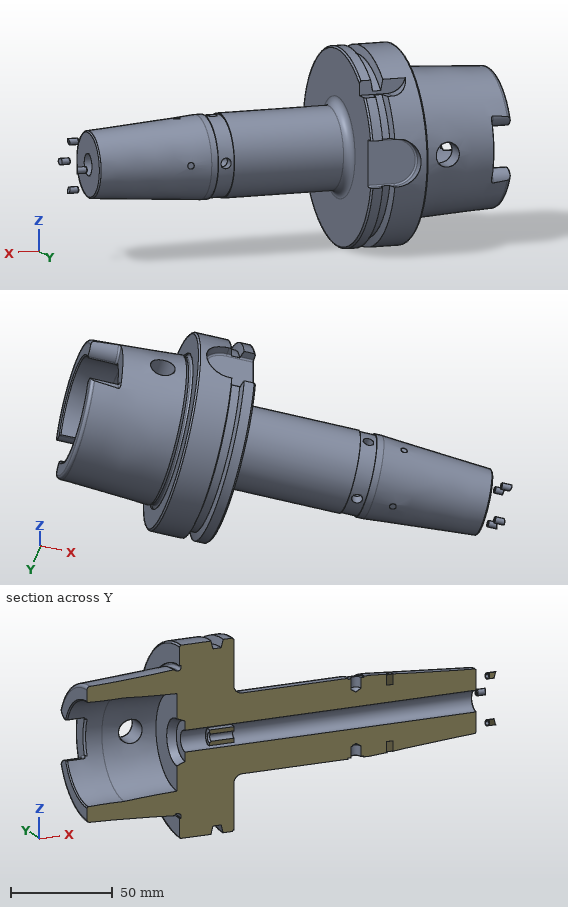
import cadquery as cq
import math


taper_end_radius = 35.2
taper_base_radius = 37.8
taper_length = 46.9
taper_end_fillet = 1.8
relief_radius = 37.0
relief_start = 48.2
face_groove_radius = 39.4
face_groove_depth = 0.9
face_groove_fillet = 1.5

flange_start = 49.7
flange_end = 79.2
flange_radius = 50.05
flange_chamfer = 0.9
groove_start = 66.9
groove_end = 73.3
groove_depth = 4.2
groove_flank = 1.0

neck_radius = 21.0
neck_fillet = 4.5
balance_band_start = 140.5
balance_band_end = 149.0
balance_band_radius = 20.5
nose_taper_start = 152.5
nose_end = 209.5
nose_end_radius = 16.7
nose_chamfer = 0.7

bore_mouth_radius = 26.8
bore_mouth_chamfer = 0.7
bore_middle_radius = 26.6
bore_middle_x = 20.0
bore_floor_radius = 25.0
bore_floor_x = 48.5
recess_mouth_radius = 12.0
recess_floor_radius = 10.3
recess_depth = 4.5
through_bore_radius = 5.5

drive_slot_half_width = 10.5
drive_slot_corner = 6.0
drive_slot_rim = 36.3
drive_slot_floor_fillet = 1.0
drive_slot_bore_chamfer = 1.0
front_slot_depth = 15.0
rear_slot_depth = 10.3

cross_hole_x = 35.0
cross_hole_diameter = 12.3

key_slot_radius = 11.9
key_slot_x = 65.5
key_slot_floor = 44.0
key_slot_floor_fillet = 0.9
notch_radius = 10.0
notch_x = 64.7
notch_floor = 31.5
notch_bottom = 31.7

radial_count = 4
balance_hole_x = (balance_band_start + balance_band_end) / 2
balance_hole_radius = 2.6
balance_hole_depth = 5.5
drill_point_angle = 118
plug_x = 163.0
plug_radius = 1.65
plug_depth = 5.5
plug_inset = 0.2

screw_start = 66.0
screw_length = 13.2
screw_half_flats = 4.2
screw_hole_radius = 1.8
screw_hole_chamfer = 0.9
screw_rim_chamfer = 0.7

end_screw_circle_radius = 12.0
end_screw_start = 214.7
end_screw_end = 220.0
end_screw_radius = 1.65
end_screw_chamfer = 0.5
end_screw_slant = 0.9
end_screw_socket_radius = 0.9
end_screw_socket_depth = 1.8

clearance = 2.2


def turned(outline):
    """Revolve an (x, radius) outline about the X axis."""
    return outline.close().revolve(360, (0, 0, 0), (1, 0, 0))


def around_axis(body):
    """Copies of a body at equal steps about the X axis."""
    step = 360 / radial_count
    return [body.rotate((0, 0, 0), (1, 0, 0), i * step) for i in range(radial_count)]


def cone_along_x(x, start_radius, end_radius, length):
    solid = cq.Solid.makeCone(start_radius, end_radius, length, cq.Vector(x, 0, 0), cq.Vector(1, 0, 0))
    return cq.Workplane(solid)


def nose_radius_at(x):
    share = (x - nose_taper_start) / (nose_end - nose_taper_start)
    return neck_radius + share * (nose_end_radius - neck_radius)


def outer_body():
    groove_radius = flange_radius - groove_depth
    groove_floor_x = flange_start + face_groove_depth
    outline = (
        cq.Workplane("XY")
        .moveTo(0, 0)
        .lineTo(0, taper_end_radius - taper_end_fillet)
        .radiusArc((taper_end_fillet, taper_end_radius), taper_end_fillet)
        .lineTo(taper_length, taper_base_radius)
        .lineTo(relief_start, relief_radius)
        .lineTo(groove_floor_x - face_groove_fillet, relief_radius)
        .radiusArc((groove_floor_x, relief_radius + face_groove_fillet), -face_groove_fillet)
        .lineTo(groove_floor_x, face_groove_radius)
        .lineTo(flange_start, face_groove_radius)
        .lineTo(flange_start, flange_radius - flange_chamfer)
        .lineTo(flange_start + flange_chamfer, flange_radius)
        .lineTo(groove_start, flange_radius)
        .lineTo(groove_start + groove_flank, groove_radius)
        .lineTo(groove_end - groove_flank, groove_radius)
        .lineTo(groove_end, flange_radius)
        .lineTo(flange_end - flange_chamfer, flange_radius)
        .lineTo(flange_end, flange_radius - flange_chamfer)
        .lineTo(flange_end, neck_radius + neck_fillet)
        .radiusArc((flange_end + neck_fillet, neck_radius), -neck_fillet)
        .lineTo(balance_band_start, neck_radius)
        .lineTo(balance_band_start, balance_band_radius)
        .lineTo(balance_band_end, balance_band_radius)
        .lineTo(balance_band_end, neck_radius)
        .lineTo(nose_taper_start, neck_radius)
        .lineTo(nose_end - nose_chamfer, nose_radius_at(nose_end - nose_chamfer))
        .lineTo(nose_end, nose_end_radius - nose_chamfer)
        .lineTo(nose_end, 0)
    )
    return turned(outline)


def axial_bores():
    recess_end = bore_floor_x + recess_depth
    outline = (
        cq.Workplane("XY")
        .moveTo(0, 0)
        .lineTo(0, bore_mouth_radius + bore_mouth_chamfer)
        .lineTo(bore_mouth_chamfer, bore_mouth_radius)
        .lineTo(bore_middle_x, bore_middle_radius)
        .lineTo(bore_floor_x, bore_floor_radius)
        .lineTo(bore_floor_x, recess_mouth_radius)
        .lineTo(recess_end, recess_floor_radius)
        .lineTo(recess_end, through_bore_radius)
        .lineTo(nose_end, through_bore_radius)
        .lineTo(nose_end, 0)
    )
    return turned(outline)


def drive_slot(side, depth):
    """Slot through the shank wall on one Y side, its outer corners rounded into the taper."""
    half = drive_slot_half_width
    corner = drive_slot_corner
    rim = drive_slot_rim
    centre_z = half + corner
    centre_y = math.sqrt((rim - corner) ** 2 - centre_z**2)
    tangent_y = centre_y * rim / (rim - corner)
    tangent_z = centre_z * rim / (rim - corner)
    outer_y = taper_base_radius + clearance
    outer_z = tangent_z * outer_y / tangent_y
    outline = (
        cq.Workplane("YZ")
        .moveTo(0, -half)
        .lineTo(centre_y, -half)
        .radiusArc((tangent_y, -tangent_z), corner)
        .lineTo(outer_y, -outer_z)
        .lineTo(outer_y, outer_z)
        .lineTo(tangent_y, tangent_z)
        .radiusArc((centre_y, half), corner)
        .lineTo(0, half)
        .close()
    )
    slot = outline.extrude(depth).faces(">X").edges().fillet(drive_slot_floor_fillet)

    bevel = cone_along_x(
        depth,
        bore_middle_radius + drive_slot_bore_chamfer,
        bore_middle_radius,
        drive_slot_bore_chamfer,
    )
    opening = cq.Workplane("XY", origin=(depth, taper_base_radius / 2, 0)).box(
        2 * drive_slot_bore_chamfer,
        taper_base_radius,
        2 * half - 2 * drive_slot_floor_fillet,
    )
    slot = slot.union(bevel.intersect(opening))
    return slot if side > 0 else slot.mirror("XZ")


def flat_slot(x, z, radius, floor, side, floor_fillet=0):
    """Round-ended slot cut along Y down to a floor, open at the flange's +X face."""
    height = flange_radius + clearance - floor
    start = cq.Workplane("XZ", origin=(0, floor, 0))
    end = start.center(x, z).circle(radius).extrude(-height)
    length = flange_end - x
    straight = start.center(x + length / 2, z).rect(length, 2 * radius).extrude(-height)
    slot = end.union(straight)
    if floor_fillet:
        slot = slot.faces("<Y").edges("not(>X)").fillet(floor_fillet)
    return slot if side > 0 else slot.mirror("XZ")


def balance_hole():
    """Blind radial hole with a drill-point bottom."""
    floor = balance_band_radius - balance_hole_depth
    tip = balance_hole_radius / math.tan(math.radians(drill_point_angle / 2))
    return (
        cq.Workplane("XZ")
        .moveTo(balance_hole_x, floor - tip)
        .lineTo(balance_hole_x + balance_hole_radius, floor)
        .lineTo(balance_hole_x + balance_hole_radius, neck_radius)
        .lineTo(balance_hole_x, neck_radius)
        .close()
        .revolve(360, (balance_hole_x, 0, 0), (balance_hole_x, 1, 0))
    )


def plug_rod(top):
    """Radial rod on +Z from the bottom of a plug hole up to the given radius."""
    bottom = nose_radius_at(plug_x) - plug_depth
    return cq.Workplane("XY", origin=(plug_x, 0, bottom)).circle(plug_radius).extrude(top - bottom)


def make_holder():
    holder = outer_body().cut(axial_bores())
    holder = holder.cut(drive_slot(-1, front_slot_depth))
    holder = holder.cut(drive_slot(1, rear_slot_depth))

    cross_hole = (
        cq.Workplane("XZ", origin=(cross_hole_x, 0, 0))
        .circle(cross_hole_diameter / 2)
        .extrude(taper_base_radius + clearance, both=True)
    )
    holder = holder.cut(cross_hole)

    for side in (-1, 1):
        holder = holder.cut(
            flat_slot(key_slot_x, 0, key_slot_radius, key_slot_floor, side, key_slot_floor_fillet)
        )
    holder = holder.cut(flat_slot(notch_x, notch_bottom + notch_radius, notch_radius, notch_floor, 1))

    for hole in around_axis(balance_hole()) + around_axis(plug_rod(neck_radius)):
        holder = holder.cut(hole)
    return holder


def make_plug():
    return plug_rod(nose_radius_at(plug_x) - plug_inset)


def make_stop_screw():
    """Screw in the through bore with two flats and a countersunk hole along its axis."""
    start = cq.Workplane("YZ", origin=(screw_start, 0, 0))
    rod = start.circle(through_bore_radius).extrude(screw_length).faces("<X").chamfer(screw_rim_chamfer)
    between_flats = start.rect(2 * through_bore_radius, 2 * screw_half_flats).extrude(screw_length)
    drill = start.circle(screw_hole_radius).extrude(screw_length)
    countersink = cone_along_x(
        screw_start,
        screw_hole_radius + screw_hole_chamfer,
        screw_hole_radius,
        screw_hole_chamfer,
    )
    return rod.intersect(between_flats).cut(drill).cut(countersink)


def make_end_screw():
    """Socketed rod whose far end slants, reaching furthest on the side away from the axis."""
    inner_z = end_screw_circle_radius - end_screw_radius
    outer_z = end_screw_circle_radius + end_screw_radius
    start = cq.Workplane("YZ", origin=(end_screw_start, 0, end_screw_circle_radius))
    rod = start.circle(end_screw_radius).extrude(end_screw_end - end_screw_start)
    rod = rod.faces("<X").chamfer(end_screw_chamfer)
    socket = start.circle(end_screw_socket_radius).extrude(end_screw_socket_depth)
    slant = (
        cq.Workplane("XZ")
        .moveTo(end_screw_end - end_screw_slant, inner_z)
        .lineTo(end_screw_end, outer_z)
        .lineTo(end_screw_end, inner_z)
        .close()
        .extrude(end_screw_radius, both=True)
    )
    return rod.cut(socket).cut(slant)


holder = make_holder()
stop_screw = make_stop_screw()
plugs = around_axis(make_plug())
end_screws = around_axis(make_end_screw())

result = cq.Compound.makeCompound(
    [
        holder.val(),
        stop_screw.val(),
        *[plug.val() for plug in plugs],
        *[end_screw.val() for end_screw in end_screws],
    ]
)